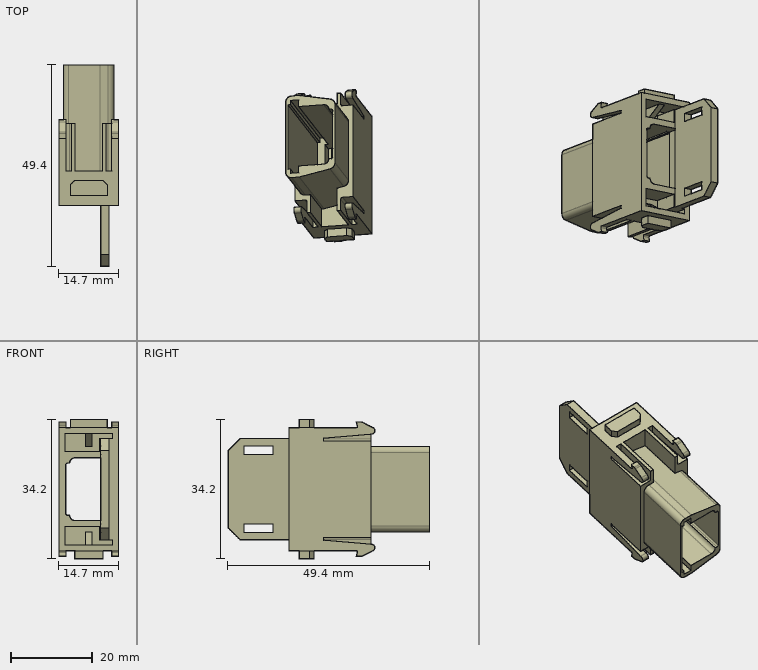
import cadquery as cq
import math

body_width = 14.65
body_length = 20.15
body_height = 30.25
side_x = body_width / 2
top_z = body_height / 2

overall_length = 49.4
plate_reach = 14.9
sleeve_end = overall_length - plate_reach
sleeve_half_width = 6.2
sleeve_top_z = 10.5
sleeve_flat_start_x = 2.75
roof_angle = math.radians(11)
sleeve_fillet = 1.55
sleeve_side_wall = 0.6

bore_left_x = sleeve_side_wall - sleeve_half_width
bore_left_half_height = 6.35
bore_left_fillet = 0.4
bore_main_left_x = -4.7
bore_main_half_height = 7.65
bore_main_fillet = 1.3
groove_half_height = 9.4
bore_right_x = sleeve_half_width - sleeve_side_wall
bore_right_half_height = 8.3
mouth_right_x = 3.7
mouth_depth = 3.45

plate_x = 2.9
plate_thickness = 2.07
plate_half_height = 12.45
plate_chamfer = 2.95
window_start = 3.95
window_length = 7.05
window_top_z = 10.55
window_height = 2.05

slot_end = 8.45
slot_floor_z = 11.8
slot_fillet = 0.5
arm_inner_x = 5.6
arm_middle_x = (arm_inner_x + side_x) / 2
rib_outer_x = 4.25
channel_half_width = 3.35
arm_root_z = 12.5
arm_tip_z = 13.5
hook_top_z = 16.5
hook_catch_y = 16.5
hook_undercut = 0.35
hook_flat_length = 1.4
hook_nose_y = 21.1
hook_nose_z = 14.35
hook_shoulder_y = 20.5
hook_shoulder_z = 15.15
catch_fillet = 0.3
hook_crest_fillet = 1.0

wall = 1.5
pocket_depth = slot_end - wall
pocket_top_z = top_z - wall
pocket_bottom_z = 9.2
pocket_half_width = side_x - wall
pocket_divider_x = 2.6
ramp_half_width = 0.8
ramp_height = 3.15
ramp_start = 1.5

boss_height = 2.0
boss_front = 2.5
boss_back = 6.18
boss_chamfer = 1.1
top_boss_half_width = 4.55
bottom_boss_half_width = 3.5


def box(x0, x1, y0, y1, z0, z1):
    """Axis-aligned block between the given limits."""
    return cq.Workplane("XY").box(x1 - x0, y1 - y0, z1 - z0, centered=False).translate((x0, y0, z0))


def side_prism(points, x0, x1):
    """Extrude a closed Y-Z outline from x0 to x1."""
    return cq.Workplane("YZ").workplane(offset=x0).polyline(points).close().extrude(x1 - x0)


def both_x(shape):
    return shape.union(shape.mirror("YZ"))


def both_z(shape):
    return shape.union(shape.mirror("XY"))


def sleeve():
    """Outer sleeve with a sloped roof and a matching sloped floor."""
    corner_z = sleeve_top_z - (sleeve_flat_start_x + sleeve_half_width) * math.tan(roof_angle)
    outline = [
        (-sleeve_half_width, corner_z),
        (sleeve_flat_start_x, sleeve_top_z),
        (sleeve_half_width, sleeve_top_z),
        (sleeve_half_width, -sleeve_top_z),
        (sleeve_flat_start_x, -sleeve_top_z),
        (-sleeve_half_width, -corner_z),
    ]
    solid = cq.Workplane("XZ").polyline(outline).close().extrude(-(sleeve_end - pocket_depth))
    solid = solid.edges("|Y and (<X or >X)").fillet(sleeve_fillet)
    return solid.translate((0, pocket_depth, 0))


def bore_band(x0, x1, half_height):
    return box(x0, x1, 0, sleeve_end, -half_height, half_height)


def bore():
    """Stepped bore, narrowed on the +X side at its front mouth."""
    left = bore_band(bore_left_x, plate_x, bore_left_half_height)
    left = left.edges("|Y and <X").fillet(bore_left_fillet)
    main = bore_band(bore_main_left_x, bore_right_x, bore_main_half_height)
    main = main.edges("|Y and <X").fillet(bore_main_fillet)
    groove = bore_band(plate_x, plate_x + plate_thickness, groove_half_height)
    right = bore_band(plate_x, bore_right_x, bore_right_half_height)
    mouth_side = box(mouth_right_x, side_x, 0, mouth_depth, -top_z, top_z)
    mouth_floor = box(plate_x, side_x, 0, mouth_depth, bore_main_half_height, top_z)
    return left.union(main).union(groove).union(right).cut(mouth_side).cut(both_z(mouth_floor))


def plate():
    solid = box(plate_x, plate_x + plate_thickness, -plate_reach, 0, -plate_half_height, plate_half_height)
    solid = solid.edges("|X and <Y").chamfer(plate_chamfer)
    window = box(plate_x, plate_x + plate_thickness, -window_start - window_length, -window_start,
                 window_top_z - window_height, window_top_z)
    return solid.cut(both_z(window))


def latch_clearance():
    """Space around the upper arms: central channel, side slots and tapered gaps below the arms."""
    channel = box(-channel_half_width, channel_half_width, slot_end, body_length, 0, top_z)
    slot = box(rib_outer_x, arm_inner_x, slot_end, body_length, slot_floor_z, top_z)
    slot = slot.edges("|Y and <X and <Z").fillet(slot_fillet)
    gap = side_prism([
        (slot_end, slot_floor_z),
        (body_length, slot_floor_z),
        (body_length, arm_tip_z),
        (slot_end, arm_root_z),
    ], arm_inner_x, side_x)
    return channel.union(both_x(slot.union(gap)))


def hook():
    """Barbed end of one upper arm on the +X side."""
    catch_root_y = hook_catch_y + hook_undercut
    solid = (
        cq.Workplane("YZ").workplane(offset=arm_inner_x)
        .moveTo(catch_root_y, top_z)
        .lineTo(hook_catch_y, hook_top_z)
        .lineTo(hook_catch_y + hook_flat_length, hook_top_z)
        .lineTo(hook_shoulder_y, hook_shoulder_z)
        .threePointArc((hook_nose_y, hook_nose_z), (body_length, arm_tip_z))
        .lineTo(catch_root_y, arm_tip_z)
        .close().extrude(side_x - arm_inner_x)
    )
    crest_point = (arm_middle_x, hook_catch_y + hook_flat_length, hook_top_z)
    crest = cq.selectors.NearestToPointSelector(crest_point)
    return solid.edges("|X").edges(crest).fillet(hook_crest_fillet)


def pocket():
    """Upper front pocket, with a shallow strip running over the plate and a ramp on its ceiling."""
    main = box(-pocket_half_width, pocket_divider_x, 0, pocket_depth, pocket_bottom_z, pocket_top_z)
    strip = box(-pocket_half_width, pocket_half_width, 0, pocket_depth, plate_half_height, pocket_top_z)
    ramp = side_prism([
        (ramp_start, pocket_top_z),
        (pocket_depth, pocket_top_z),
        (pocket_depth, pocket_top_z - ramp_height),
    ], -ramp_half_width, ramp_half_width)
    return main.union(strip).cut(ramp)


def boss(half_width, z0):
    solid = box(-half_width, half_width, boss_front, boss_back, z0, z0 + boss_height)
    return solid.edges("|Z and >Y").chamfer(boss_chamfer)


housing = box(-side_x, side_x, 0, body_length, -top_z, top_z)
housing = housing.cut(both_z(latch_clearance())).cut(both_z(pocket()))
housing = housing.union(both_z(both_x(hook())))

catch_corner_y = hook_catch_y + hook_undercut
for corner_z in (-top_z, top_z):
    for arm_x in (-arm_middle_x, arm_middle_x):
        corner = cq.selectors.NearestToPointSelector((arm_x, catch_corner_y, corner_z))
        housing = housing.edges("|X").edges(corner).fillet(catch_fillet)

result = housing.union(sleeve()).cut(bore()).union(plate())
result = result.union(boss(top_boss_half_width, top_z))
result = result.union(boss(bottom_boss_half_width, -top_z - boss_height))